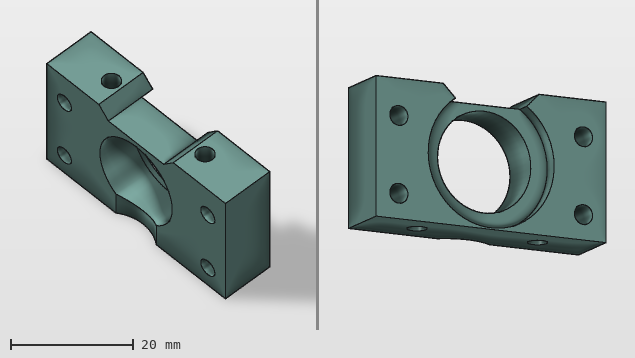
import cadquery as cq

length = 42.0
thickness = 10.0
height = 23.5
mid_z = height / 2

bore_diameter = 17.0
counterbore_diameter = 23.0
counterbore_depth = 2.5

notch_floor_width = 13.0
notch_depth = 2.25
notch_top_width = notch_floor_width + 2 * notch_depth

hole_diameter = 3.3
face_hole_spacing_x = 33.7
face_hole_spacing_z = 13.0
face_hole_mid_z = 10.75
vertical_hole_spacing = 22.0

scallop_width = 9.5
scallop_depth = 1.55


def block():
    return cq.Workplane("XY").box(length, thickness, height).translate((0, thickness / 2, mid_z))


def cylinder_along_y(diameter, x, z, y_start, y_end):
    axis_start = cq.Vector(x, y_start, z)
    return cq.Workplane(
        cq.Solid.makeCylinder(diameter / 2, y_end - y_start, axis_start, cq.Vector(0, 1, 0))
    )


def stepped_bore():
    bore = cylinder_along_y(bore_diameter, 0, mid_z, 0, thickness)
    counterbore = cylinder_along_y(
        counterbore_diameter, 0, mid_z, thickness - counterbore_depth, thickness
    )
    return bore.union(counterbore)


def top_notch():
    floor_z = height - notch_depth
    return (
        cq.Workplane("XZ")
        .moveTo(-notch_floor_width / 2, floor_z)
        .lineTo(notch_floor_width / 2, floor_z)
        .lineTo(notch_top_width / 2, height)
        .lineTo(-notch_top_width / 2, height)
        .close()
        .extrude(-thickness)
    )


def face_holes():
    holes = cq.Workplane()
    for side in (-1, 1):
        for level in (-1, 1):
            x = side * face_hole_spacing_x / 2
            z = face_hole_mid_z + level * face_hole_spacing_z / 2
            holes = holes.add(cylinder_along_y(hole_diameter, x, z, 0, thickness))
    return holes.combine()


def vertical_holes():
    offset_x = vertical_hole_spacing / 2
    return (
        cq.Workplane("XY", origin=(0, thickness / 2, 0))
        .pushPoints([(-offset_x, 0), (offset_x, 0)])
        .circle(hole_diameter / 2)
        .extrude(height)
    )


def front_scallop():
    """Circular segment cut up from the bottom face until it opens into the bore."""
    return (
        cq.Workplane("XY")
        .moveTo(-scallop_width / 2, 0)
        .threePointArc((0, scallop_depth), (scallop_width / 2, 0))
        .close()
        .extrude(mid_z)
    )


result = (
    block()
    .cut(stepped_bore())
    .cut(top_notch())
    .cut(face_holes())
    .cut(vertical_holes())
    .cut(front_scallop())
)